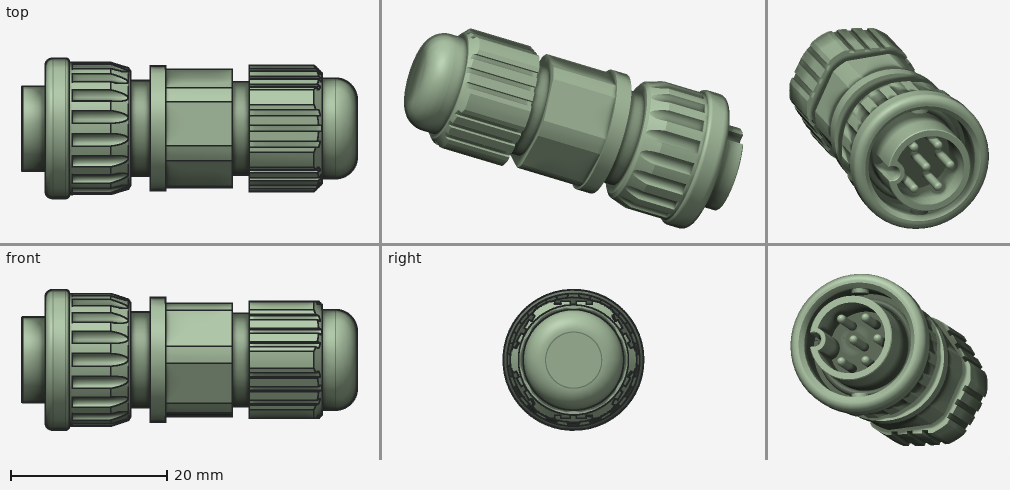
import cadquery as cq
import math

LENGTH = 43.0
HEX_SIDES = 6

TUBE_R = 5.5
TUBE_BORE_R = 4.6
TUBE_EDGE = 0.12
INSERT_FACE_X = 7.0
KEY_CENTER_Y = 4.85
KEY_GROOVE_R = 0.9
KEY_WALL = 0.65

PIN_R = 0.57
PIN_TIP_FILLET = 0.54
PIN_CIRCLE_R = 3.2
PIN_TIP_X = 0.95
PIN_SPACING = 60
OUTER_PIN_COUNT = 5
PIN_MARK_R = 0.12
PIN_MARK_DEPTH = 0.2
PIN_MARK_Y = 2.72
PIN_MARK_Z = 1.27

RING_START = 3.0
RING_END = 14.0
FLANGE_R = 9.0
FLANGE_FRONT_FILLET = 1.0
FLANGE_BACK_FILLET = 0.5
GRIP_R = 8.5
FLANGE_END = 6.1
GRIP_TAPER_START = 11.4
GRIP_TAPER_END = 13.65
GRIP_TAPER_R = 7.77
RING_END_R = 7.25
FLUTE_COUNT = 18
FLUTE_R = 0.83
FLUTE_START = 6.5

CAVITY_MOUTH_R = 7.7
CAVITY_R = 7.1
CAVITY_LEAD = 0.6
CAVITY_FLOOR_X = 8.2
ORING_R = 6.0
ORING_SECTION_R = 0.46
ORING_STANDOFF = 0.3
BAYONET_PIN_TIP_R = 6.54
BAYONET_PIN_ROOT_R = 7.3
BAYONET_PIN_R = 1.13
BAYONET_PIN_X = 4.8
RECESS_INNER_R = BAYONET_PIN_TIP_R
RECESS_WIDTH = 2.74
RECESS_DEPTH = 0.3

FRONT_NECK_R = 6.15
COLLAR_START = 16.45
COLLAR_END = 18.45
COLLAR_R = 8.0
HEX_END = 27.0
HEX_R = 7.6
HEX_ACROSS_FLATS = 14.1
HEX_TURN = -5
REAR_NECK_R = 6.0

NUT_START = 29.15
NUT_END = 38.5
NUT_R = 8.1
NUT_ACROSS_FLATS = 15.0
NUT_CHAMFER = 1.05
NUT_GROOVE_DEPTH = 0.4
NUT_MID_GROOVE_WIDTH = 0.76
NUT_SIDE_GROOVE_WIDTH = 0.78
NUT_SIDE_GROOVE_OFFSET = 2.01

CAP_R = 6.45
CAP_ROUNDING = 2.85


def disc(start, end, radius):
    """A cylinder on the X axis."""
    return cq.Workplane("YZ", origin=(start, 0, 0)).circle(radius).extrude(end - start)


def rod(start, end, radius, y, z):
    """A cylinder parallel to the X axis through (y, z)."""
    return cq.Workplane("YZ", origin=(start, y, z)).circle(radius).extrude(end - start)


def block(start, end, y, z, width, height):
    """A box from start to end along X, centred on (y, z)."""
    return cq.Workplane("YZ", origin=(start, y, z)).rect(width, height).extrude(end - start)


def turn(shape, angle):
    """Turn a shape about the X axis."""
    return shape.rotate((0, 0, 0), (1, 0, 0), angle)


def hex_prism(start, end, across_flats):
    """A hexagonal prism on the X axis with flats facing +Z and -Z."""
    corner_diameter = across_flats / math.cos(math.pi / HEX_SIDES)
    base = cq.Workplane("YZ", origin=(start, 0, 0))
    return base.polygon(HEX_SIDES, corner_diameter).extrude(end - start)


def coupling_ring():
    """Fluted grip ring with a rounded flange at the front and a tapered rear end."""
    front_mid = FLANGE_FRONT_FILLET * (1 - math.sqrt(0.5))
    back_mid = FLANGE_BACK_FILLET * math.sqrt(0.5)
    flat_end = FLANGE_END - FLANGE_BACK_FILLET
    ring = (
        cq.Workplane("XY")
        .moveTo(RING_START, 0)
        .lineTo(RING_START, FLANGE_R - FLANGE_FRONT_FILLET)
        .threePointArc(
            (RING_START + front_mid, FLANGE_R - front_mid),
            (RING_START + FLANGE_FRONT_FILLET, FLANGE_R),
        )
        .lineTo(flat_end, FLANGE_R)
        .threePointArc(
            (flat_end + back_mid, FLANGE_R - FLANGE_BACK_FILLET + back_mid),
            (FLANGE_END, GRIP_R),
        )
        .lineTo(GRIP_TAPER_START, GRIP_R)
        .lineTo(GRIP_TAPER_END, GRIP_TAPER_R)
        .lineTo(RING_END, RING_END_R)
        .lineTo(RING_END, 0)
        .close()
        .revolve(360, (0, 0, 0), (1, 0, 0))
    )
    flute = rod(FLUTE_START, RING_END, FLUTE_R, GRIP_TAPER_R + FLUTE_R, 0)
    for i in range(FLUTE_COUNT):
        ring = ring.cut(turn(flute, i * 360 / FLUTE_COUNT))
    return ring


def cavity():
    """Open space around the tube, with a conical lead-in at its mouth."""
    lead_in = (
        cq.Workplane("XY")
        .moveTo(RING_START, 0)
        .lineTo(RING_START, CAVITY_MOUTH_R)
        .lineTo(RING_START + CAVITY_LEAD, CAVITY_R)
        .lineTo(RING_START + CAVITY_LEAD, 0)
        .close()
        .revolve(360, (0, 0, 0), (1, 0, 0))
    )
    return lead_in.union(disc(RING_START, CAVITY_FLOOR_X, CAVITY_R))


def bayonet_pins():
    """Radial pins at +Z and -Z that stand on the cavity wall."""
    pin = (
        cq.Workplane("XY", origin=(BAYONET_PIN_X, 0, BAYONET_PIN_TIP_R))
        .circle(BAYONET_PIN_R)
        .extrude(BAYONET_PIN_ROOT_R - BAYONET_PIN_TIP_R)
    )
    return pin.union(turn(pin, 180))


def floor_recesses():
    """Rectangular recesses in the cavity floor at +Y and -Y."""
    recess_end = CAVITY_FLOOR_X + RECESS_DEPTH
    middle = (RECESS_INNER_R + CAVITY_R) / 2
    recess = block(CAVITY_FLOOR_X, recess_end, middle, 0, CAVITY_R - RECESS_INNER_R, RECESS_WIDTH)
    return recess.union(turn(recess, 180))


def oring():
    """Seal ring around the tube, seated in the cavity floor."""
    return (
        cq.Workplane("XY", origin=(CAVITY_FLOOR_X - ORING_STANDOFF, ORING_R, 0))
        .circle(ORING_SECTION_R)
        .revolve(360, (0, -ORING_R, 0), (1, -ORING_R, 0))
    )


def plug_tube():
    """Tube with a keying groove at +Y; the wall bulges inward around the groove."""
    groove = rod(0, INSERT_FACE_X, KEY_GROOVE_R, KEY_CENTER_Y, 0).union(
        block(0, INSERT_FACE_X, KEY_CENTER_Y + KEY_GROOVE_R, 0, 2 * KEY_GROOVE_R, 2 * KEY_GROOVE_R)
    )
    outside = disc(0, CAVITY_FLOOR_X, TUBE_R).cut(groove).faces("<X").chamfer(TUBE_EDGE)
    bulge = rod(0, INSERT_FACE_X, KEY_GROOVE_R + KEY_WALL, KEY_CENTER_Y, 0)
    bore = disc(0, INSERT_FACE_X, TUBE_BORE_R).cut(bulge)
    mark = rod(INSERT_FACE_X, INSERT_FACE_X + PIN_MARK_DEPTH, PIN_MARK_R, PIN_MARK_Y, PIN_MARK_Z)
    return outside.cut(bore).cut(mark)


def contact_pins():
    """One pin on the axis and five on a circle, leaving the key position free."""
    pin = disc(PIN_TIP_X, CAVITY_FLOOR_X, PIN_R).faces("<X").edges().fillet(PIN_TIP_FILLET)
    pins = pin
    for i in range(1, OUTER_PIN_COUNT + 1):
        pins = pins.union(turn(pin.translate((0, PIN_CIRCLE_R, 0)), i * PIN_SPACING))
    return pins


def body():
    """Front neck, collar, rounded hexagon for a wrench and rear neck."""
    hex_part = hex_prism(COLLAR_END, HEX_END, HEX_ACROSS_FLATS)
    hex_part = turn(hex_part, HEX_TURN).intersect(disc(COLLAR_END, HEX_END, HEX_R))
    return (
        disc(RING_END, COLLAR_START, FRONT_NECK_R)
        .union(disc(COLLAR_START, COLLAR_END, COLLAR_R))
        .union(hex_part)
        .union(disc(HEX_END, NUT_START, REAR_NECK_R))
    )


def clamping_nut():
    """Rounded hexagon nut with three shallow grooves along each flat."""
    envelope = disc(NUT_START, NUT_END, NUT_R).faces(">X").chamfer(NUT_CHAMFER)
    nut = hex_prism(NUT_START, NUT_END, NUT_ACROSS_FLATS).intersect(envelope)
    flat = NUT_ACROSS_FLATS / 2
    grooves = (
        (0, NUT_MID_GROOVE_WIDTH),
        (-NUT_SIDE_GROOVE_OFFSET, NUT_SIDE_GROOVE_WIDTH),
        (NUT_SIDE_GROOVE_OFFSET, NUT_SIDE_GROOVE_WIDTH),
    )
    for i in range(HEX_SIDES):
        for offset, width in grooves:
            groove = block(NUT_START, NUT_END, offset, flat, width, 2 * NUT_GROOVE_DEPTH)
            nut = nut.cut(turn(groove, i * 360 / HEX_SIDES))
    return nut


def end_cap():
    """Round cap with a large rounding at the cable end."""
    return disc(NUT_END, LENGTH, CAP_R).faces(">X").edges().fillet(CAP_ROUNDING)


result = (
    coupling_ring()
    .cut(cavity())
    .cut(floor_recesses())
    .union(bayonet_pins())
    .union(plug_tube())
    .union(oring())
    .union(contact_pins())
    .union(body())
    .union(clamping_nut())
    .union(end_cap())
)